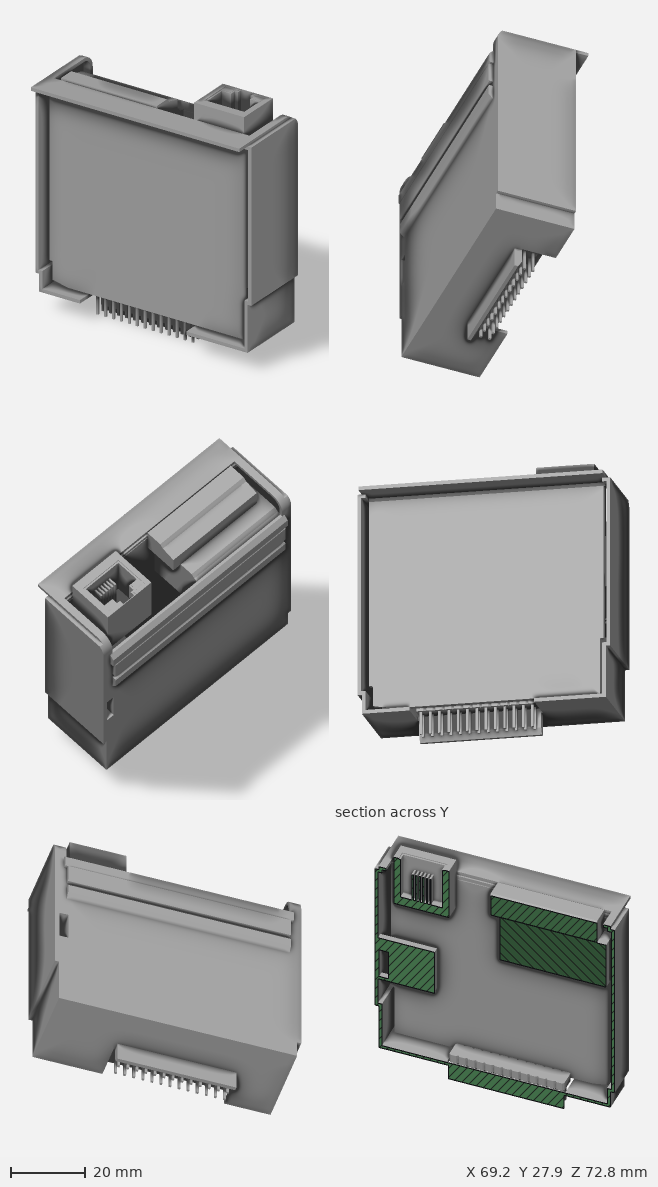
import cadquery as cq
import math


wall = 1.0
housing_width = 69.2
housing_half_width = housing_width / 2
housing_front = -10.0
housing_rear = 12.6
housing_bottom = 5.9
shoulder_z = 67.2
housing_top = shoulder_z + wall
neck_inset = 1.2
neck_half_width = housing_half_width - neck_inset
left_step_z = 11.2
right_step_z = 20.15
corner_radius = 4.0
opening_half_width = 31.3
opening_bottom = 61.9
ledge_z = 59.7
recessed_rear = 11.8

board_half_width = 32.1
board_thickness = 1.6
board_back = -5.4
board_front = board_back - board_thickness
board_bottom = 7.8
board_top = 65.9
board_notch = 1.0
board_left_step_z = 14.4
board_right_step_z = 23.4
board_slope_z = 8.8
board_slope_end_x = -26.1
board_notch_radius = 0.45

flange_front = -14.0
lip_thickness = 0.5
lip_front = board_back - lip_thickness

grip_height = 1.3
grip_half_width = 32.1
lower_grip_half_width = opening_half_width
grip_edge = 0.3
upper_grip_bottom = 57.5
middle_grip_bottom = 51.6
lower_grip_top = 50.1
lower_grip_bottom = 45.65

latch_left = 17.25
latch_front = -1.7
latch_bottom = 29.4
latch_top = 43.7
latch_window_left = 30.8
latch_window_right = 33.3
latch_window_bottom = 30.5
latch_window_top = 39.45
latch_rib_left = 29.25
latch_rib_depth = 0.9
latch_foot_height = 0.6
latch_foot_setback = 1.0

pin_columns = 13
pin_rows = 2
pin_pitch = 2.55
pin_size = 0.65
pin_bottom = 0.9
header_center_x = -3.3
header_bottom = 7.0
header_height = 2.55
header_corner = 0.45
header_depth = pin_rows * pin_pitch
header_back = board_back + header_depth

blade_width = 33.4
blade_thickness = 2.05
blade_front = header_back
blade_chamfer_depth = 1.0
blade_chamfer_height = 1.75
floor_slot_width = 34.15

terminal_width = 30.7
terminal_chamfer = 1.0
terminal_slope_angle = 15
front_terminal_left = -29.5
front_terminal_top = 68.6
front_terminal_flat_depth = 4.95
front_terminal_rear = 4.65
rear_terminal_left = -32.2
rear_terminal_flat_depth = 14.3
rear_terminal_top = 61.35
rear_terminal_bottom = 46.8

jack_center_x = 21.1
jack_width = 16.0
jack_front = -5.2
jack_depth = 13.75
jack_top = 72.8
jack_height = 16.0
plug_width = 11.95
plug_depth = 7.1
plug_front = -2.05
key_width = 6.05
key_rear = 6.9
clip_width = 3.9
clip_rear = 8.4
cavity_height = 13.1
rim_step = 0.5
rim_sink = 0.2
rim_rear = 7.5
lamp_width = 2.9
lamp_depth = 1.9
lamp_height = 0.1
contact_count = 6
contact_pitch = 1.0
contact_width = 0.5
contact_depth = 2.55
contact_drop = 4.4


def box(x0, x1, y0, y1, z0, z1):
    return cq.Workplane("XY").box(x1 - x0, y1 - y0, z1 - z0, centered=False).translate((x0, y0, z0))


def extrude_along_y(points, y0, y1):
    """Extrude an outline of (x, z) points from y0 to y1."""
    return cq.Workplane("XZ", origin=(0, y0, 0)).polyline(points).close().extrude(y0 - y1)


def extrude_along_x(points, x0, x1):
    """Extrude an outline of (y, z) points from x0 to x1."""
    return cq.Workplane("YZ", origin=(x0, 0, 0)).polyline(points).close().extrude(x1 - x0)


def stepped_outline(inset):
    """Front outline of the housing, moved inwards by the inset."""
    wide = housing_half_width - inset
    narrow = neck_half_width - inset
    bottom = housing_bottom + inset
    return [
        (-narrow, bottom),
        (narrow, bottom),
        (narrow, right_step_z + inset),
        (wide, right_step_z + inset),
        (wide, shoulder_z - inset),
        (narrow, shoulder_z - inset),
        (narrow, housing_top - inset),
        (-narrow, housing_top - inset),
        (-narrow, shoulder_z - inset),
        (-wide, shoulder_z - inset),
        (-wide, left_step_z + inset),
        (-narrow, left_step_z + inset),
    ]


def rounded_side(inset):
    """Block with the rounded rear top corner of the housing, moved inwards by the inset."""
    block = box(
        -housing_half_width, housing_half_width, housing_front, housing_rear - inset,
        housing_bottom, housing_top - inset,
    )
    return block.edges(">Y and >Z").fillet(corner_radius - inset)


def make_housing_shell():
    outer = extrude_along_y(stepped_outline(0), housing_front, housing_rear)
    outer = outer.intersect(rounded_side(0))
    cavity = extrude_along_y(stepped_outline(wall), housing_front, housing_rear)
    cavity = cavity.intersect(rounded_side(wall))
    return outer.cut(cavity)


def open_top(shell):
    """Clear the top wall under the flange and open it through the rear corner."""
    flange_clearance = box(
        -neck_half_width, neck_half_width, housing_front, lip_front, shoulder_z, housing_top
    )
    opening = box(
        -opening_half_width, opening_half_width, lip_front, housing_rear, opening_bottom, housing_top
    )
    rear_recess = box(
        -opening_half_width, opening_half_width, board_back, recessed_rear, ledge_z, opening_bottom
    )
    return shell.cut(flange_clearance).cut(opening).cut(rear_recess)


def make_lip():
    lip_half_width = neck_half_width - wall
    return box(
        -lip_half_width, lip_half_width, lip_front, board_back, shoulder_z - wall, shoulder_z
    )


def make_grips():
    crest = housing_rear + grip_height
    upper = [
        (housing_rear, opening_bottom),
        (crest, opening_bottom - grip_height),
        (crest, upper_grip_bottom + grip_edge),
        (crest - grip_edge, upper_grip_bottom),
        (housing_rear, upper_grip_bottom),
    ]
    middle = [
        (housing_rear, upper_grip_bottom),
        (crest - grip_edge, upper_grip_bottom),
        (crest, upper_grip_bottom - grip_edge),
        (crest, middle_grip_bottom + grip_edge),
        (crest - grip_edge, middle_grip_bottom),
        (housing_rear, middle_grip_bottom),
    ]
    lower = [
        (housing_rear, lower_grip_top),
        (crest - grip_edge, lower_grip_top),
        (crest, lower_grip_top - grip_edge),
        (crest, lower_grip_bottom + grip_height),
        (housing_rear, lower_grip_bottom),
    ]
    grips = extrude_along_x(upper, -grip_half_width, grip_half_width)
    for outline in (middle, lower):
        grips = grips.union(extrude_along_x(outline, -lower_grip_half_width, lower_grip_half_width))
    return grips


def make_latch_block():
    """Block with a low rib on its front face and a foot set back at its bottom."""
    block = box(
        latch_left, housing_half_width - wall, latch_front, housing_rear - wall, latch_bottom, latch_top
    )
    rib = box(
        latch_rib_left, latch_window_left, latch_front - latch_rib_depth, latch_front,
        latch_bottom + latch_foot_height, latch_window_top,
    )
    undercut = box(
        latch_left, housing_half_width - wall, latch_front, latch_front + latch_foot_setback,
        latch_bottom, latch_bottom + latch_foot_height,
    )
    return block.union(rib).cut(undercut)


def make_blade():
    blade_rear = blade_front + blade_thickness
    outline = [
        (blade_front, housing_bottom + wall),
        (blade_front, blade_chamfer_height),
        (blade_front + blade_chamfer_depth, 0),
        (blade_rear, 0),
        (blade_rear, housing_bottom + wall),
    ]
    return extrude_along_x(
        outline, header_center_x - blade_width / 2, header_center_x + blade_width / 2
    )


def make_housing():
    housing = open_top(make_housing_shell())
    housing = housing.union(make_lip()).union(make_grips()).union(make_latch_block())
    floor_slot = box(
        header_center_x - floor_slot_width / 2, header_center_x + floor_slot_width / 2,
        housing_front, blade_front, housing_bottom, housing_bottom + wall,
    )
    latch_window = box(
        latch_window_left, latch_window_right, latch_front - latch_rib_depth, housing_rear,
        latch_window_bottom, latch_window_top,
    )
    housing = housing.cut(floor_slot).cut(latch_window).union(make_blade())
    return housing.cut(make_rear_terminal())


def make_flange():
    return box(
        -neck_half_width, neck_half_width, flange_front, lip_front, shoulder_z, housing_top
    )


def make_board():
    narrow = board_half_width - board_notch
    outline = [
        (-narrow, board_slope_z),
        (board_slope_end_x, board_bottom),
        (narrow, board_bottom),
        (narrow, board_right_step_z),
        (board_half_width, board_right_step_z),
        (board_half_width, board_top),
        (-board_half_width, board_top),
        (-board_half_width, board_left_step_z),
        (-narrow, board_left_step_z),
    ]
    board = extrude_along_y(outline, board_front, board_back)
    for x, z in ((narrow, board_right_step_z), (-narrow, board_left_step_z)):
        corner = cq.selectors.NearestToPointSelector((x, (board_front + board_back) / 2, z))
        board = board.edges("|Y").edges(corner).fillet(board_notch_radius)
    return board


def make_header():
    """Insulator of chamfered cells, one per column, with two square pins through each cell."""
    header = None
    header_middle_y = board_back + header_depth / 2
    for column in range(pin_columns):
        x = header_center_x + (column - (pin_columns - 1) / 2) * pin_pitch
        cell = (
            cq.Workplane("XY", origin=(x, header_middle_y, header_bottom))
            .rect(pin_pitch, header_depth)
            .extrude(header_height)
            .edges("|Z")
            .chamfer(header_corner)
        )
        for row in range(pin_rows):
            y = board_back + (row + 0.5) * pin_pitch
            pin = (
                cq.Workplane("XY", origin=(x, y, pin_bottom))
                .rect(pin_size, pin_size)
                .extrude(header_bottom + header_height - pin_bottom)
            )
            cell = cell.union(pin)
        header = cell if header is None else header.union(cell)
    return header


def make_terminal_block(left, flat_depth, rear, bottom, top):
    """Block on the board whose top is flat, then drops over a chamfer and a gentle slope to the rear."""
    chamfer_front = board_back + flat_depth
    slope_front = chamfer_front + terminal_chamfer
    slope_top = top - terminal_chamfer
    slope_drop = (rear - slope_front) * math.tan(math.radians(terminal_slope_angle))
    outline = [
        (board_back, bottom),
        (board_back, top),
        (chamfer_front, top),
        (slope_front, slope_top),
        (rear, slope_top - slope_drop),
        (rear, bottom),
    ]
    return extrude_along_x(outline, left, left + terminal_width)


def make_rear_terminal():
    return make_terminal_block(
        rear_terminal_left, rear_terminal_flat_depth, recessed_rear,
        rear_terminal_bottom, rear_terminal_top,
    )


def centered_jack_box(width, y0, y1, z0, z1):
    """Box centred on the jack in X."""
    return box(jack_center_x - width / 2, jack_center_x + width / 2, y0, y1, z0, z1)


def make_jack():
    body = centered_jack_box(
        jack_width, jack_front, jack_front + jack_depth, jack_top - jack_height, jack_top
    )
    cavity_floor = jack_top - cavity_height
    rim_floor = jack_top - rim_sink
    plug_rear = plug_front + plug_depth
    rim_width = plug_width + 2 * rim_step

    body = body.cut(centered_jack_box(plug_width, plug_front, plug_rear, cavity_floor, jack_top))
    body = body.cut(centered_jack_box(key_width, plug_front, key_rear, cavity_floor, jack_top))
    body = body.cut(centered_jack_box(clip_width, plug_front, clip_rear, cavity_floor, jack_top))

    body = body.cut(
        centered_jack_box(rim_width, plug_front - rim_step, rim_rear, rim_floor, jack_top)
    )
    body = body.cut(
        centered_jack_box(clip_width + 2 * rim_step, plug_front, clip_rear, rim_floor, jack_top)
    )

    for lamp_left in (-rim_width / 2, rim_width / 2 - lamp_width):
        x = jack_center_x + lamp_left
        lamp = box(
            x, x + lamp_width, rim_rear - lamp_depth, rim_rear, rim_floor, rim_floor + lamp_height
        )
        body = body.union(lamp)

    for index in range(contact_count):
        x = jack_center_x + (index - (contact_count - 1) / 2) * contact_pitch
        contact = box(
            x - contact_width / 2, x + contact_width / 2, plug_front, plug_front + contact_depth,
            cavity_floor, jack_top - contact_drop,
        )
        body = body.union(contact)
    return body


housing = make_housing()
flange = make_flange()
board = make_board()
header = make_header()
front_terminal = make_terminal_block(
    front_terminal_left, front_terminal_flat_depth, front_terminal_rear,
    rear_terminal_top, front_terminal_top,
)
rear_terminal = make_rear_terminal()
jack = make_jack()

result = cq.Compound.makeCompound([
    housing.solids().val(),
    flange.val(),
    board.solids().val(),
    header.solids().val(),
    front_terminal.val(),
    rear_terminal.val(),
    jack.solids().val(),
])